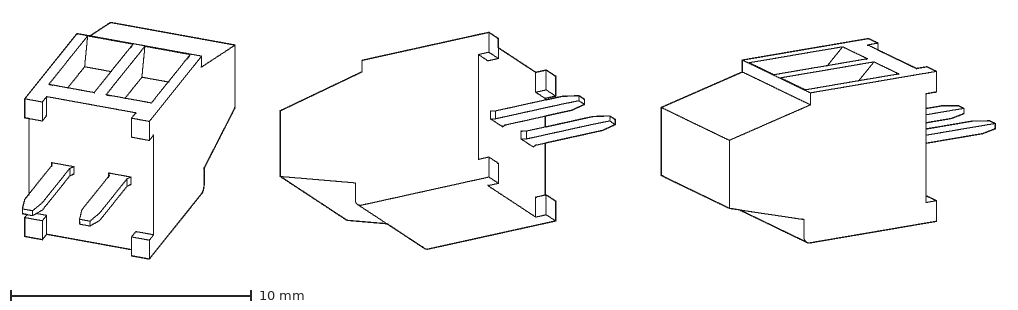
import cadquery as cq


overall_length = 13.6

pole_count = 2
pole_pitch = 2.55

width = 5.54
height = 6.5
half_height = height / 2
body_length = 9.5
upper_step_y = 5.59
lower_step_y = 5.9
nose_top_z = 1.8
nose_bottom_z = -1.15
upper_step_z = 2.73
lower_step_z = -2.19
lower_edge_radius = 0.3

foot_width = 0.79
foot_height = 0.9
foot_length = 0.5

well_width = 2.01
well_length = 4.52
well_floor_width = 1.4
well_floor_length = 2.22
well_depth = 0.82
well_wall = 0.04

pin_length = overall_length - body_length
pin_width = 0.79
pin_thickness = 0.35
pin_root_width = 1.0
pin_root_length = 0.19
pin_tip_width = 0.46
pin_tip_thickness = 0.23
pin_tip_length = 0.71

pole_positions = [(i - (pole_count - 1) / 2) * pole_pitch for i in range(pole_count)]


def make_body():
    """Extrude the side outline across the full width and round the lower front edge."""
    outline = [
        (0, -half_height),
        (0, half_height),
        (upper_step_y, half_height),
        (upper_step_y, upper_step_z),
        (body_length, nose_top_z),
        (body_length, nose_bottom_z),
        (lower_step_y, lower_step_z),
        (lower_step_y, -half_height),
    ]
    body = cq.Workplane("YZ").polyline(outline).close().extrude(width / 2, both=True)
    lower_edge = cq.selectors.NearestToPointSelector((0, lower_step_y, -half_height))
    return body.edges(lower_edge).fillet(lower_edge_radius)


def make_feet():
    """Four blocks on the corners of the rear wall."""
    return (
        cq.Workplane("XZ")
        .rect(width - foot_width, height - foot_height, forConstruction=True)
        .vertices()
        .rect(foot_width, foot_height)
        .extrude(foot_length)
    )


def make_well(x):
    """Cutter for one well: an inverted frustum that opens at the top face."""
    center_y = upper_step_y - well_wall - well_length / 2
    return (
        cq.Workplane("XY", origin=(x, center_y, half_height))
        .rect(well_width, well_length)
        .workplane(offset=-well_depth)
        .rect(well_floor_width, well_floor_length)
        .loft(ruled=True)
    )


def make_housing():
    housing = make_body().union(make_feet())
    for x in pole_positions:
        housing = housing.cut(make_well(x))
    return housing


def make_pin(x):
    """One pin: flared root on the rear wall, flat shank and a tip tapered on four sides."""
    shank_end = pin_length - pin_tip_length
    half_width = pin_width / 2
    half_root = pin_root_width / 2
    outline = [
        (-half_root, 0),
        (-half_width, -pin_root_length),
        (-half_width, -shank_end),
        (half_width, -shank_end),
        (half_width, -pin_root_length),
        (half_root, 0),
    ]
    shank = cq.Workplane("XY").polyline(outline).close().extrude(pin_thickness / 2, both=True)
    tip = (
        cq.Workplane("XZ", origin=(0, -shank_end, 0))
        .rect(pin_width, pin_thickness)
        .workplane(offset=pin_tip_length)
        .rect(pin_tip_width, pin_tip_thickness)
        .loft(ruled=True)
    )
    return shank.union(tip).translate((x, 0, 0))


housing = make_housing()
pins = [make_pin(x) for x in pole_positions]

result = cq.Compound.makeCompound([housing.val(), *[pin.val() for pin in pins]])